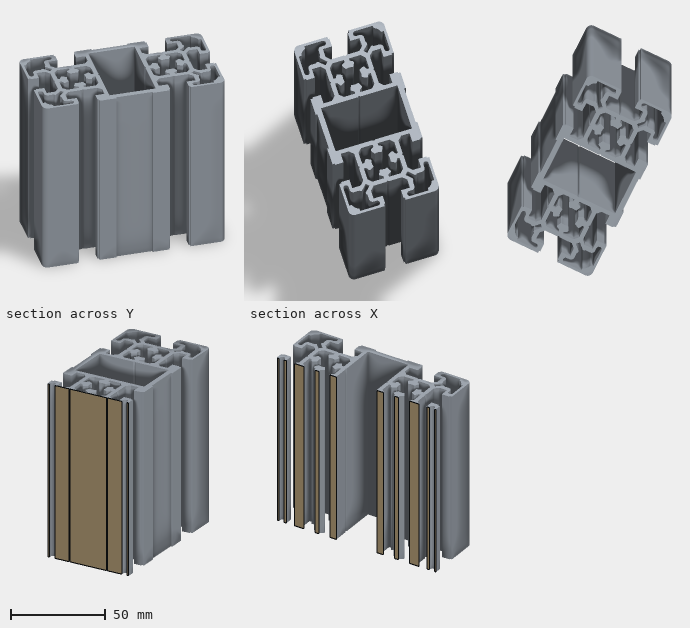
import cadquery as cq
import math

width = 50.0
depth = 100.0
length = 100.0
outer_radius = 3.0
half_cell = width / 2
cell_centre = depth / 2 - half_cell

mouth_half = 5.8
mouth_depth = 1.3
throat_half = 5.1
lip_thickness = 5.9
chamber_half = 10.1
slot_chamfer = 2.2
slot_floor = 12.3
groove_half = 0.8
groove_depth = 0.5

core_half = 9.9
core_chamfer = 2.1
bore_radius = 5.0
stem_half = 1.4
stem_end = 8.7
boss_half = 3.5
boss_rounding = 0.7
tip_rounding = 0.5
boss_shoulder = 7.4
boss_tip_half = 2.0

skin = 1.4
corner_pad_side = 19.0
corner_pad_centre = 17.6
corner_pad_radius = 4.8
finger_radius = 1.4
finger_centre = 9.0
bend_radius = 2.0
bend_side = 12.6
bump_start = 16.0
bump_half = 13.1
bump_top = 15.5
relief_half_gap = 1.6
relief_end = 10.8

middle_half_x = 21.2
middle_half_y = cell_centre - slot_floor
recess_half_y = 10.0
recess_depth = 0.9


def prism(wire):
    return wire.close().extrude(length)


def symmetric_prism(half_outline):
    """Extrude an outline given by its +X half, mirrored about the Y axis."""
    other_half = [(-x, y) for x, y in reversed(half_outline) if x > 0]
    return prism(cq.Workplane("XY").polyline(half_outline + other_half))


def turned(solid, angle):
    return solid.rotate((0, 0, 0), (0, 0, 1), angle)


def t_slot():
    """T-slot opening towards +Y, with a small V groove along its floor."""
    mouth_floor = half_cell - mouth_depth
    lip_back = half_cell - lip_thickness
    return symmetric_prism([
        (0, slot_floor - groove_depth),
        (groove_half, slot_floor),
        (chamber_half - slot_chamfer, slot_floor),
        (chamber_half, slot_floor + slot_chamfer),
        (chamber_half, lip_back),
        (throat_half, lip_back),
        (throat_half, mouth_floor),
        (mouth_half, mouth_floor),
        (mouth_half, half_cell),
    ])


def screw_boss():
    """Mushroom-shaped boss on the +Y wall; its tip lies on the screw bore."""
    tip_y = math.sqrt(bore_radius**2 - boss_tip_half**2)
    outline = (
        cq.Workplane("XY")
        .moveTo(boss_tip_half, tip_y)
        .lineTo(boss_half, boss_shoulder)
        .lineTo(stem_half, stem_end)
        .lineTo(stem_half, core_half)
        .lineTo(-stem_half, core_half)
        .lineTo(-stem_half, stem_end)
        .lineTo(-boss_half, boss_shoulder)
        .lineTo(-boss_tip_half, tip_y)
        .threePointArc((0, bore_radius), (boss_tip_half, tip_y))
    )
    boss = prism(outline)
    boss = boss.edges("|Z").edges("<Y").fillet(tip_rounding)
    return boss.edges("|Z").edges(">X or <X").fillet(boss_rounding)


def core_chamber():
    """Chamfered square chamber less the bosses on its four walls."""
    core_side = 2 * core_half
    chamber = cq.Workplane("XY").rect(core_side, core_side).extrude(length)
    chamber = chamber.edges("|Z").chamfer(core_chamfer)
    boss = screw_boss()
    for quarter in range(4):
        chamber = chamber.cut(turned(boss, 90 * quarter))
    return chamber


def pad_point(angle):
    """Point on the round face of the thick pad inside an outer corner."""
    x = corner_pad_centre + corner_pad_radius * math.cos(angle)
    y = corner_pad_centre + corner_pad_radius * math.sin(angle)
    return (x, y)


def corner_chamber():
    """Chamber in the (+X, +Y) corner, symmetric about the cell diagonal."""
    finger_top = half_cell - skin
    finger_mid = finger_top - finger_radius
    finger_floor = finger_mid - finger_radius
    bend_offset = bend_radius * (1 - math.sqrt(0.5))
    diagonal_angle = math.pi / 4
    pad_end_angle = math.acos((corner_pad_side - corner_pad_centre) / corner_pad_radius)
    outline = (
        cq.Workplane("XY")
        .moveTo(*pad_point(diagonal_angle))
        .threePointArc(pad_point((diagonal_angle + pad_end_angle) / 2), pad_point(pad_end_angle))
        .lineTo(corner_pad_side, finger_top)
        .lineTo(finger_centre, finger_top)
        .threePointArc((finger_centre - finger_radius, finger_mid),
                       (finger_centre, finger_floor))
        .lineTo(bend_side - bend_radius, finger_floor)
        .threePointArc((bend_side - bend_offset, finger_floor - bend_offset),
                       (bend_side, finger_floor - bend_radius))
        .lineTo(bend_side, bump_start)
        .lineTo(bump_half, bump_top)
        .lineTo(bump_half, bump_half + relief_half_gap)
        .lineTo(relief_end - relief_half_gap / 2, relief_end + relief_half_gap / 2)
        .lineTo(relief_end, relief_end)
    )
    upper_half = prism(outline)
    lower_half = turned(upper_half.mirror("YZ"), -90)
    return upper_half.union(lower_half)


def cell_cuts():
    """All the cuts of the +Y cell, placed at its position in the profile."""
    slot = t_slot()
    corner = corner_chamber()
    cuts = [core_chamber(), corner, corner.mirror("YZ")]
    cuts += [turned(slot, angle) for angle in (-90, 0, 90)]
    return [cut.translate((0, cell_centre, 0)) for cut in cuts]


def middle_chamber():
    """Rectangular chamber with a V groove in the web towards each cell."""
    return symmetric_prism([
        (0, middle_half_y + groove_depth),
        (groove_half, middle_half_y),
        (middle_half_x, middle_half_y),
        (middle_half_x, -middle_half_y),
        (groove_half, -middle_half_y),
        (0, -middle_half_y - groove_depth),
    ])


result = cq.Workplane("XY").rect(width, depth).extrude(length)
result = result.edges("|Z").fillet(outer_radius)

for cell_cut in cell_cuts():
    result = result.cut(cell_cut).cut(cell_cut.mirror("XZ"))

result = result.cut(middle_chamber())

for side in (-1, 1):
    recess = cq.Workplane("XY").rect(2 * recess_depth, 2 * recess_half_y).extrude(length)
    result = result.cut(recess.translate((side * width / 2, 0, 0)))